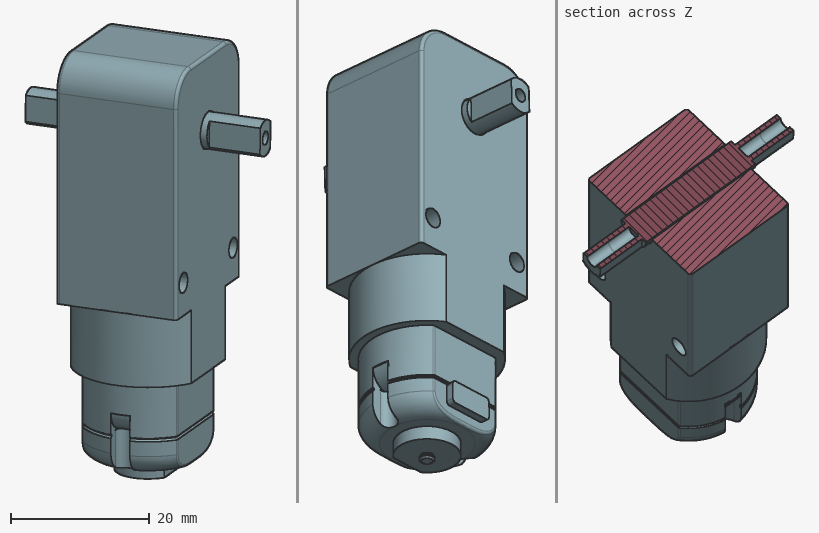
import cadquery as cq
import math


box_top = 11.5
box_bottom = box_top - 37.0
collar_bottom = box_bottom - 11.1
can_bottom = box_top - 56.3
cap_top = box_top - 56.5
cap_bottom = box_top - 62.0
boss_bottom = box_top - 64.1
tip_bottom = box_top - 65.0

box_width = 19.0
box_depth = 22.5
box_corner_radius = 5.0
box_edge_radius = 0.5
mount_hole_diameter = 3.0
mount_hole_y = 8.8
mount_hole_z = box_top - 32.0

shaft_diameter = 5.4
shaft_length = 37.0
shaft_flat_width = 3.7
shaft_flat_length = 8.0
shaft_bore_diameter = 5.6
shaft_turn = -2.0
end_hole_diameter = 2.0
end_hole_depth = shaft_flat_length

can_diameter = 19.8
can_width = 15.0
can_edge_radius = 0.5
cap_corner_radius = 3.0

seam_depth = 0.3

slot_width = 3.0
slot_floor_y = 6.7
slot_lead_radius = 3.0
slot_top = box_top - 53.0

latch_width = 7.6
latch_height = 3.6
latch_top = cap_top
latch_corner_radius = 0.6
latch_reach = 1.2

boss_diameter = 9.75
boss_flat_x = 3.9
spindle_diameter = 1.9
tip_diameter = 2.3
tip_height = 0.55
tip_chamfer = 0.3


def cylinder_down(diameter, z_top, z_bottom):
    """Cylinder on the motor axis between two heights."""
    return cq.Workplane("XY").workplane(offset=z_bottom).circle(diameter / 2).extrude(z_top - z_bottom)


def slab(width, depth, z_top, z_bottom):
    """Box centred on the motor axis between two heights."""
    return cq.Workplane("XY").workplane(offset=z_bottom).rect(width, depth).extrude(z_top - z_bottom)


def flat_sided_cylinder(diameter, width, z_top, z_bottom):
    """Cylinder on the motor axis with two flats that face along X."""
    return cylinder_down(diameter, z_top, z_bottom).intersect(slab(width, diameter, z_top, z_bottom))


def make_gearbox():
    block = slab(box_width, box_depth, box_top, box_bottom)
    block = block.edges("|X and >Z").fillet(box_corner_radius)
    block = block.faces("<X or >X").edges("not <Z").fillet(box_edge_radius)
    collar = flat_sided_cylinder(box_depth, box_width, box_bottom, collar_bottom)
    mount_holes = (
        cq.Workplane("YZ")
        .pushPoints([(-mount_hole_y, mount_hole_z), (mount_hole_y, mount_hole_z)])
        .circle(mount_hole_diameter / 2)
        .extrude(box_width / 2, both=True)
    )
    shaft_bore = cq.Workplane("YZ").circle(shaft_bore_diameter / 2).extrude(box_width / 2, both=True)
    return block.union(collar).cut(mount_holes).cut(shaft_bore)


def make_can():
    can = flat_sided_cylinder(can_diameter, can_width, collar_bottom, can_bottom)
    return can.edges("|Z").fillet(can_edge_radius)


def make_cap():
    cap = cylinder_down(can_diameter, cap_top, cap_bottom).faces("<Z").edges().fillet(cap_corner_radius)
    cap = cap.intersect(slab(can_width, can_diameter, cap_top, cap_bottom))
    cap = cap.faces("<X or >X").edges("not >Z").fillet(can_edge_radius)
    return cap.faces(">Z").edges().chamfer(seam_depth)


def make_slot(side):
    """Round-bottomed slot open at the cap end, with a rolled lead-in at its top."""
    outer_y = can_diameter / 2
    floor_centre_y = slot_floor_y + slot_width / 2
    ceiling_z = slot_top - slot_lead_radius
    half_width = slot_width / 2
    height = ceiling_z - cap_bottom
    channel = (
        cq.Workplane("XY")
        .workplane(offset=cap_bottom)
        .moveTo(-half_width, outer_y)
        .lineTo(-half_width, floor_centre_y)
        .threePointArc((0, floor_centre_y - half_width), (half_width, floor_centre_y))
        .lineTo(half_width, outer_y)
        .close()
        .extrude(height)
    )
    lead_y = slot_floor_y + slot_lead_radius
    bend = slot_lead_radius * math.sqrt(0.5)
    lead = (
        cq.Workplane("YZ")
        .moveTo(outer_y, slot_top)
        .lineTo(lead_y, slot_top)
        .threePointArc(
            (slot_floor_y + bend, slot_top - bend),
            (slot_floor_y, ceiling_z),
        )
        .lineTo(outer_y, ceiling_z)
        .close()
        .extrude(half_width, both=True)
    )
    slot = channel.union(lead)
    return slot if side > 0 else slot.mirror("XZ")


def make_latch():
    return (
        cq.Workplane("YZ")
        .workplane(offset=-can_width / 2 - latch_reach)
        .center(0, latch_top - latch_height / 2)
        .rect(latch_width, latch_height)
        .extrude(2 * latch_reach)
        .edges("|X")
        .fillet(latch_corner_radius)
    )


def make_bearing_end():
    boss = cylinder_down(boss_diameter, cap_bottom, boss_bottom)
    beyond_flat = slab(boss_diameter, boss_diameter, cap_bottom, boss_bottom)
    boss = boss.cut(beyond_flat.translate((boss_flat_x + boss_diameter / 2, 0, 0)))
    spindle = cylinder_down(spindle_diameter, boss_bottom, tip_bottom + tip_height)
    tip = cylinder_down(tip_diameter, tip_bottom + tip_height, tip_bottom)
    return boss.union(spindle).union(tip.faces("<Z").edges().chamfer(tip_chamfer))


def make_housing():
    neck = flat_sided_cylinder(
        can_diameter - 2 * seam_depth, can_width - 2 * seam_depth, can_bottom, cap_top
    )
    housing = make_gearbox().union(make_can()).union(neck).union(make_cap())
    for side in (-1, 1):
        housing = housing.cut(make_slot(side))
    return housing.union(make_latch()).union(make_bearing_end())


def make_shaft():
    shaft = cq.Workplane("YZ").circle(shaft_diameter / 2).extrude(shaft_length / 2, both=True)
    for side in (-1, 1):
        flat_zone = cq.Workplane("XY").box(shaft_flat_length, shaft_diameter, shaft_diameter)
        flat_core = cq.Workplane("XY").box(shaft_flat_length, shaft_flat_width, shaft_diameter)
        end_hole = cq.Workplane("YZ").circle(end_hole_diameter / 2).extrude(end_hole_depth / 2, both=True)
        end_cut = flat_zone.cut(flat_core).union(end_hole)
        shaft = shaft.cut(end_cut.translate((side * (shaft_length - shaft_flat_length) / 2, 0, 0)))
    return shaft.rotate((0, 0, 0), (1, 0, 0), shaft_turn)


housing = make_housing()
shaft = make_shaft()
result = cq.Compound.makeCompound([housing.val(), shaft.val()])